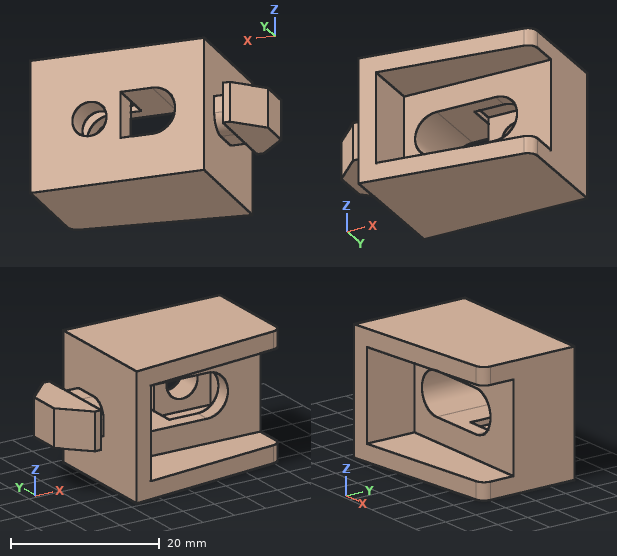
import cadquery as cq

LENGTH = 32.5
DEPTH = 18.5
HEIGHT = 19.0

HOUSING_START = 7.5
FRONT_CORNER_DEPTH = 15.35
CORNER_RADIUS = 1.5
END_WALL = 2.5
SIDE_WALL = 2.63
BACK_WALL = 10.2

SLOT_WIDTH = 6.6
SLOT_SPAN = 9.0
SLOT_END_CENTER = 24.0
LEDGE_THICKNESS = 3.9
HOLE_DIAMETER = 4.9

POCKET_FRONT = 7.8
POCKET_HEIGHT = 8.45

HEAD_LENGTH = 5.0
HEAD_WIDTH = 13.0
HEAD_HEIGHT = 5.72
TIP_WIDTH = 5.0
HEAD_TAPER_LENGTH = (HEAD_WIDTH - TIP_WIDTH) / 2
HEAD_CENTER_Y = -7.02

NECK_WIDTH = 6.3
NECK_HEIGHT = 4.9
NECK_RADIUS = 2.5

SLOT_MIDDLE = SLOT_END_CENTER - SLOT_SPAN / 2


def make_housing():
    """Wedge-shaped channel, open at the front and the far end."""
    body = (
        cq.Workplane("XY", origin=(0, 0, -HEIGHT / 2))
        .moveTo(HOUSING_START, 0)
        .lineTo(LENGTH, 0)
        .lineTo(LENGTH, -FRONT_CORNER_DEPTH)
        .lineTo(HOUSING_START, -DEPTH)
        .close()
        .extrude(HEIGHT)
        .faces(">X")
        .edges("|Z and <Y")
        .fillet(CORNER_RADIUS)
    )
    cavity_start = HOUSING_START + END_WALL
    cavity = cq.Workplane("XY", origin=(cavity_start, -DEPTH, 0)).box(
        LENGTH - cavity_start,
        DEPTH - BACK_WALL,
        HEIGHT - 2 * SIDE_WALL,
        centered=(False, False, True),
    )
    ledge = cq.Workplane("XY", origin=(SLOT_MIDDLE, -LEDGE_THICKNESS, 0)).box(
        SLOT_SPAN,
        LEDGE_THICKNESS,
        SLOT_WIDTH,
        centered=(False, False, True),
    )
    hole = (
        cq.Workplane("XZ", origin=(SLOT_END_CENTER, 0, 0))
        .circle(HOLE_DIAMETER / 2)
        .extrude(BACK_WALL)
    )
    slot = (
        cq.Workplane("XZ", origin=(SLOT_MIDDLE, 0, 0))
        .slot2D(SLOT_SPAN + SLOT_WIDTH, SLOT_WIDTH)
        .extrude(BACK_WALL)
        .cut(ledge)
    )
    pocket = cq.Workplane("XY", origin=(SLOT_END_CENTER, -POCKET_FRONT, 0)).box(
        SLOT_SPAN,
        POCKET_FRONT - LEDGE_THICKNESS,
        POCKET_HEIGHT,
        centered=(True, False, True),
    )
    return body.cut(cavity).cut(slot).cut(hole).cut(pocket)


def make_hammer_bolt():
    """Tapered hammer head on a short neck that butts against the housing."""
    head = (
        cq.Workplane("XY", origin=(0, HEAD_CENTER_Y, -HEAD_HEIGHT / 2))
        .moveTo(0, TIP_WIDTH / 2)
        .lineTo(HEAD_TAPER_LENGTH, HEAD_WIDTH / 2)
        .lineTo(HEAD_LENGTH, HEAD_WIDTH / 2)
        .lineTo(HEAD_LENGTH, -HEAD_WIDTH / 2)
        .lineTo(HEAD_TAPER_LENGTH, -HEAD_WIDTH / 2)
        .lineTo(0, -TIP_WIDTH / 2)
        .close()
        .extrude(HEAD_HEIGHT)
    )
    neck = (
        cq.Workplane("XY", origin=(HEAD_LENGTH, HEAD_CENTER_Y, 0))
        .box(
            HOUSING_START - HEAD_LENGTH,
            NECK_WIDTH,
            NECK_HEIGHT,
            centered=(False, True, True),
        )
        .edges("|X and ((<Y and >Z) or (>Y and <Z))")
        .fillet(NECK_RADIUS)
    )
    return head.union(neck)


housing = make_housing()
hammer_bolt = make_hammer_bolt()

result = cq.Compound.makeCompound([housing.val(), hammer_bolt.val()])